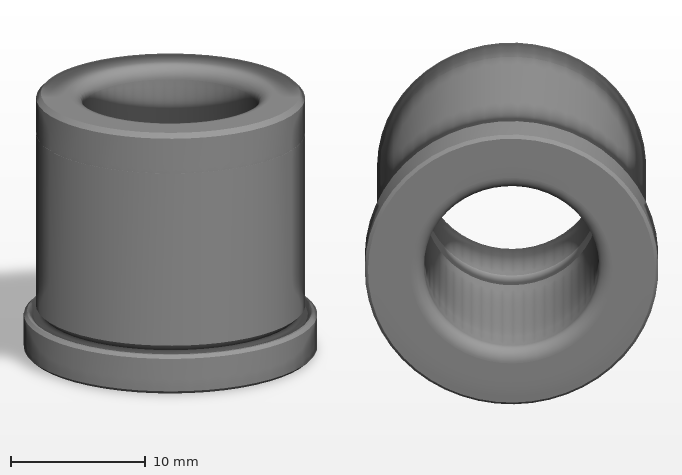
import cadquery as cq
import math

flange_diameter = 21.8
total_height = 20.0

flange_radius = flange_diameter / 2
flange_height = 3.0
flange_chamfer = 0.25
shank_radius = 10.0
pilot_radius = 9.98
pilot_length = 3.05
pilot_chamfer = 0.35
pilot_bottom = total_height - pilot_length

relief_depth = 0.5
relief_floor_depth = 0.28
relief_face_radius = 10.49

liner_radius = 8.0
bore_radius = 6.5
bore_rounding = 1.0

groove_top = 14.2
groove_depth = 0.5
groove_slope_height = 0.65
groove_floor_height = 0.5


def revolve_profile(profile):
    """Turn a closed radius-height outline about the Z axis."""
    return profile.close().revolve(360, (0, 0, 0), (0, 1, 0))


def make_housing():
    neck_radius = shank_radius - relief_depth
    shank_bottom = flange_height + relief_depth
    floor_height = flange_height - relief_floor_depth
    floor_outer_radius = relief_face_radius - relief_floor_depth

    corner_rounding = relief_floor_depth
    arc_offset = corner_rounding * (1 - math.sqrt(0.5))
    arc_middle = (neck_radius + arc_offset, floor_height + arc_offset)

    profile = (
        cq.Workplane("XZ")
        .moveTo(liner_radius, 0)
        .lineTo(flange_radius - flange_chamfer, 0)
        .lineTo(flange_radius, flange_chamfer)
        .lineTo(flange_radius, flange_height - flange_chamfer)
        .lineTo(flange_radius - flange_chamfer, flange_height)
        .lineTo(relief_face_radius, flange_height)
        .lineTo(floor_outer_radius, floor_height)
        .lineTo(neck_radius + corner_rounding, floor_height)
        .threePointArc(arc_middle, (neck_radius, flange_height))
        .lineTo(shank_radius, shank_bottom)
        .lineTo(shank_radius, pilot_bottom)
        .lineTo(pilot_radius, pilot_bottom)
        .lineTo(pilot_radius, total_height - pilot_chamfer)
        .lineTo(pilot_radius - pilot_chamfer, total_height)
        .lineTo(liner_radius, total_height)
    )
    return revolve_profile(profile)


def make_bore_groove():
    groove_radius = bore_radius + groove_depth
    floor_top = groove_top - groove_slope_height
    floor_bottom = floor_top - groove_floor_height
    groove_bottom = floor_bottom - groove_slope_height
    profile = (
        cq.Workplane("XZ")
        .moveTo(bore_radius, groove_top)
        .lineTo(groove_radius, floor_top)
        .lineTo(groove_radius, floor_bottom)
        .lineTo(bore_radius, groove_bottom)
    )
    return revolve_profile(profile)


def make_liner():
    sleeve = cq.Workplane("XY").circle(liner_radius).circle(bore_radius).extrude(total_height)
    bore_mouths = sleeve.edges(cq.selectors.RadiusNthSelector(0))
    return bore_mouths.fillet(bore_rounding).cut(make_bore_groove())


housing = make_housing()
liner = make_liner()

result = cq.Compound.makeCompound([housing.val(), liner.val()])